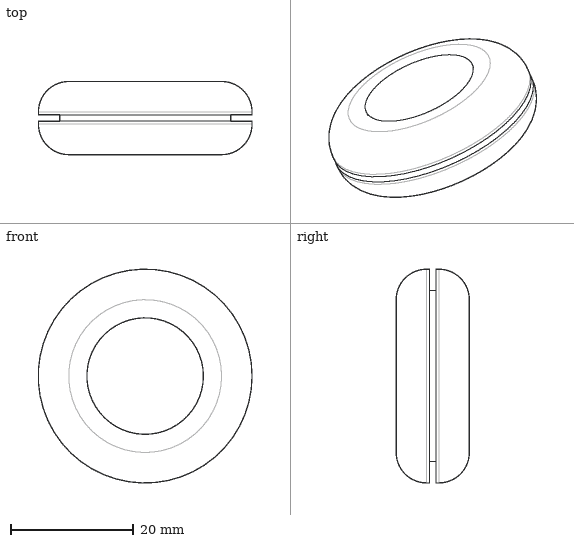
import cadquery as cq

outer_diameter = 35.0
width = 12.0
bore_diameter = 19.0

groove_diameter = 28.0
groove_width = 1.0

edge_radius = 5.0


def centred_disc(diameter, thickness):
    """Disc on the Y axis, centred on the origin."""
    start = cq.Workplane("XZ", origin=(0, thickness / 2, 0))
    return start.circle(diameter / 2).extrude(thickness)


def rounded_ring():
    """Bored disc with both outer edges rounded."""
    disc = centred_disc(outer_diameter, width).edges("%CIRCLE").fillet(edge_radius)
    return disc.cut(centred_disc(bore_diameter, width))


def groove_cutter():
    """Annulus whose inner diameter forms the groove floor."""
    return centred_disc(outer_diameter, groove_width).cut(centred_disc(groove_diameter, groove_width))


result = rounded_ring().cut(groove_cutter())